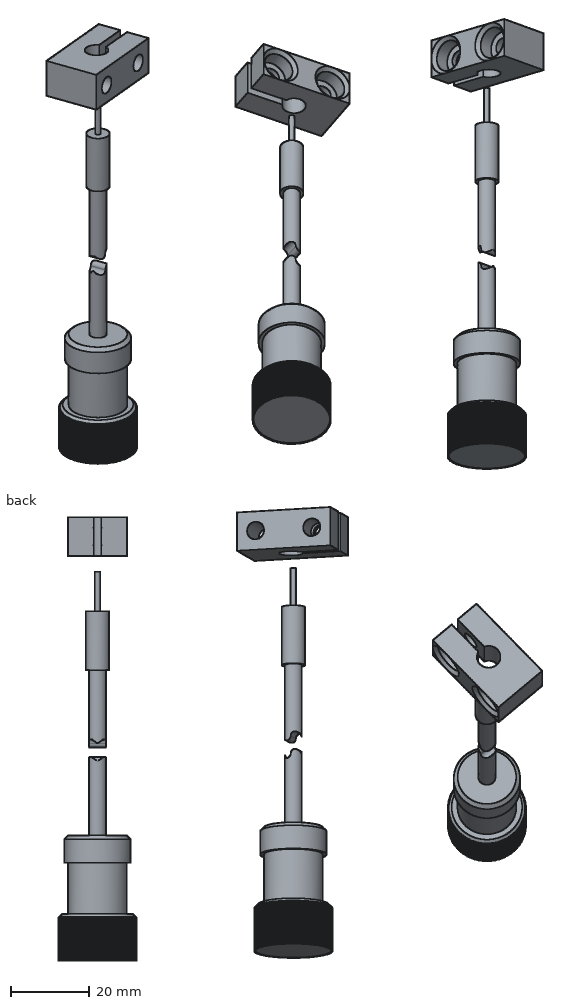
import cadquery as cq
import math

TOTAL_HEIGHT = 113.1
KNOB_HEIGHT = 12.0
COLLAR_BOTTOM = 25.0
COLLAR_TOP = 32.0
LOWER_BREAK = 50.9
UPPER_BREAK = 55.4
FERRULE_BOTTOM = 74.1
FERRULE_LENGTH = 15.0
WIRE_LENGTH = 10.1

KNOB_DIAMETER = 20.0
BODY_DIAMETER = 15.0
COLLAR_DIAMETER = 17.0
CABLE_DIAMETER = 4.4
FERRULE_DIAMETER = 6.0
WIRE_DIAMETER = 1.5
WIRE_BORE_DIAMETER = 0.7
EDGE_CHAMFER = 1.0

TOOTH_COUNT = 180
TOOTH_DEPTH = 0.3

BLOCK_X = 15.0
BLOCK_Y = 25.0
BLOCK_Z = 10.0
BLOCK_OFFSET_Y = -0.2
BORE_DIAMETER = FERRULE_DIAMETER
BORE_OFFSET_Y = -0.5
CLAMP_SLOT_WIDTH = 2.0
SCREW_SPACING = 15.0
SCREW_HOLE_DIAMETER = 4.5
COUNTERBORE_DIAMETER = 8.0
COUNTERBORE_DEPTH = 5.0
COUNTERSINK_DIAMETER = 10.0
COUNTERSINK_DEPTH = 1.0


def cylinder(diameter, bottom, top):
    """Upright cylinder on the common axis."""
    return cq.Workplane("XY").workplane(offset=bottom).circle(diameter / 2).extrude(top - bottom)


def break_profile(mid_height, end_height):
    """Block between an S-shaped break across the cable and a flat end.

    The break is two half circles: an arch on the +Y half and a dip on the -Y half.
    """
    radius = CABLE_DIAMETER / 2
    arc_radius = radius / 2
    return (
        cq.Workplane("YZ")
        .moveTo(radius, mid_height)
        .threePointArc((arc_radius, mid_height + arc_radius), (0, mid_height))
        .threePointArc((-arc_radius, mid_height - arc_radius), (-radius, mid_height))
        .lineTo(-radius, end_height)
        .lineTo(radius, end_height)
        .close()
        .extrude(radius, both=True)
    )


def broken_cable(mid_height, end_height):
    """Length of cable with an S-shaped break at one end and a flat cut at the other."""
    bottom = min(mid_height - CABLE_DIAMETER, end_height)
    top = max(mid_height + CABLE_DIAMETER, end_height)
    return cylinder(CABLE_DIAMETER, bottom, top).intersect(break_profile(mid_height, end_height))


def make_knob():
    """Knob with straight knurling all round and a chamfered upper rim."""
    tip_radius = KNOB_DIAMETER / 2
    outline = []
    for point in range(2 * TOOTH_COUNT):
        radius = tip_radius if point % 2 == 0 else tip_radius - TOOTH_DEPTH
        angle = math.pi * point / TOOTH_COUNT
        outline.append((radius * math.cos(angle), radius * math.sin(angle)))
    toothed = cq.Workplane("XY").polyline(outline).close().extrude(KNOB_HEIGHT)
    blank = cylinder(KNOB_DIAMETER, 0, KNOB_HEIGHT).faces(">Z").chamfer(EDGE_CHAMFER)
    return toothed.intersect(blank)


def make_connector():
    """Knurled knob, body and chamfered collar with the lower length of cable."""
    knob = make_knob()
    body = cylinder(BODY_DIAMETER, KNOB_HEIGHT, COLLAR_BOTTOM)
    collar = cylinder(COLLAR_DIAMETER, COLLAR_BOTTOM, COLLAR_TOP).faces(">Z").chamfer(EDGE_CHAMFER)
    return knob.union(body).union(collar).union(broken_cable(LOWER_BREAK, COLLAR_TOP))


def make_probe():
    """Upper length of cable with its ferrule and hollow wire."""
    ferrule_top = FERRULE_BOTTOM + FERRULE_LENGTH
    ferrule = cylinder(FERRULE_DIAMETER, FERRULE_BOTTOM, ferrule_top)
    wire_top = ferrule_top + WIRE_LENGTH
    wire = cylinder(WIRE_DIAMETER, ferrule_top, wire_top)
    wire = wire.cut(cylinder(WIRE_BORE_DIAMETER, ferrule_top, wire_top))
    return broken_cable(UPPER_BREAK, FERRULE_BOTTOM).union(ferrule).union(wire)


def screw_cutter(y):
    """Stepped hole along X: through hole, counterbore and countersunk mouth on the -X face."""
    face_x = -BLOCK_X / 2
    half_section = [
        (face_x, 0),
        (face_x, COUNTERSINK_DIAMETER / 2),
        (face_x + COUNTERSINK_DEPTH, COUNTERBORE_DIAMETER / 2),
        (face_x + COUNTERBORE_DEPTH, COUNTERBORE_DIAMETER / 2),
        (face_x + COUNTERBORE_DEPTH, SCREW_HOLE_DIAMETER / 2),
        (-face_x, SCREW_HOLE_DIAMETER / 2),
        (-face_x, 0),
    ]
    cutter = cq.Workplane("XZ").polyline(half_section).close().revolve(360, (0, 0), (1, 0))
    return cutter.translate((0, y, TOTAL_HEIGHT - BLOCK_Z / 2))


def make_clamp_block():
    """Block with a slotted clamping bore and two screw holes across the slot direction."""
    bottom = TOTAL_HEIGHT - BLOCK_Z
    block = cq.Workplane("XY").box(BLOCK_X, BLOCK_Y, BLOCK_Z, centered=(True, True, False))
    slot = cq.Workplane("XY").box(CLAMP_SLOT_WIDTH, BLOCK_Y / 2, BLOCK_Z, centered=(True, False, False))
    block = block.cut(slot).translate((0, 0, bottom))
    bore = cylinder(BORE_DIAMETER, bottom, TOTAL_HEIGHT).translate((0, BORE_OFFSET_Y, 0))
    block = block.cut(bore)
    for y in (-SCREW_SPACING / 2, SCREW_SPACING / 2):
        block = block.cut(screw_cutter(y))
    return block.translate((0, BLOCK_OFFSET_Y, 0))


connector = make_connector()
probe = make_probe()
clamp_block = make_clamp_block()
result = cq.Compound.makeCompound([connector.val(), probe.val(), clamp_block.val()])